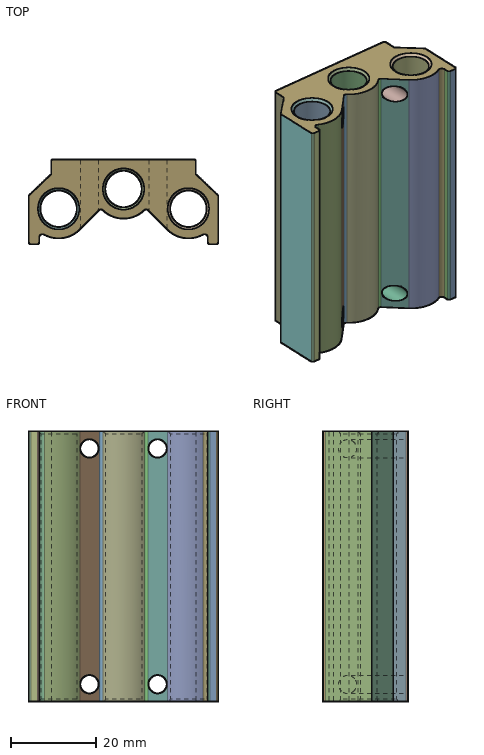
import cadquery as cq
import math

width = 44.5
depth = 20.0
length = 63.5

rail_width = 34.05
rail_height = 3.5
shoulder_drop = 8.5

foot_width = 2.5

bore_diameter = 8.5
bore_mouth_diameter = 9.7
bore_spacing = 15.25
middle_bore_inset = 7.0
side_bore_inset = 11.6
middle_bore_y = depth - middle_bore_inset
side_bore_y = depth - side_bore_inset
lobe_radius = 7.0

cross_hole_diameter = 4.25
cross_hole_spacing_x = 16.0
cross_hole_spacing_z = 55.4

rail_fillet = 0.5
foot_fillet = 0.5
foot_root_fillet = 0.75
valley_fillet = 0.6

half_width = width / 2
half_rail = rail_width / 2
foot_x = half_width - foot_width

foot_root_y = side_bore_y - math.sqrt(lobe_radius**2 - (foot_x - bore_spacing) ** 2)

lobe_diagonal = lobe_radius * math.sqrt(0.5)
flank_start_x = bore_spacing - lobe_diagonal
flank_start_y = side_bore_y - lobe_diagonal

flank_offset = flank_start_x + flank_start_y - middle_bore_y
valley_x = (flank_offset + math.sqrt(2 * lobe_radius**2 - flank_offset**2)) / 2
valley_y = middle_bore_y + flank_offset - valley_x


def make_profile():
    """Closed outline of the manifold, drawn from the left foot around the back."""
    lobe_front_y = side_bore_y - lobe_radius
    return (
        cq.Workplane("XY")
        .moveTo(-foot_x, 0)
        .lineTo(-half_width, 0)
        .lineTo(-half_width, depth - shoulder_drop)
        .lineTo(-half_rail, depth - rail_height)
        .lineTo(-half_rail, depth)
        .lineTo(half_rail, depth)
        .lineTo(half_rail, depth - rail_height)
        .lineTo(half_width, depth - shoulder_drop)
        .lineTo(half_width, 0)
        .lineTo(foot_x, 0)
        .lineTo(foot_x, foot_root_y)
        .threePointArc((bore_spacing, lobe_front_y), (flank_start_x, flank_start_y))
        .lineTo(valley_x, valley_y)
        .threePointArc((0, middle_bore_y - lobe_radius), (-valley_x, valley_y))
        .lineTo(-flank_start_x, flank_start_y)
        .threePointArc((-bore_spacing, lobe_front_y), (-foot_x, foot_root_y))
        .close()
    )


def round_edge_pair(body, x, y, radius):
    """Fillet the two lengthwise edges at (x, y) and (-x, y)."""
    for edge_x in (x, -x):
        nearest = cq.NearestToPointSelector((edge_x, y, length / 2))
        body = body.edges("|Z").edges(nearest).fillet(radius)
    return body


def make_bore(x, y):
    """Through bore with a 45 degree countersink at both ends."""
    mouth_radius = bore_mouth_diameter / 2
    bore_radius = bore_diameter / 2
    countersink_depth = mouth_radius - bore_radius
    return (
        cq.Workplane("XZ")
        .lineTo(mouth_radius, 0)
        .lineTo(bore_radius, countersink_depth)
        .lineTo(bore_radius, length - countersink_depth)
        .lineTo(mouth_radius, length)
        .lineTo(0, length)
        .close()
        .revolve(360, (0, 0), (0, 1))
        .translate((x, y, 0))
    )


def make_cross_holes():
    """Four holes along Y, spaced evenly about the middle of the length."""
    return (
        cq.Workplane("XZ", origin=(0, depth, length / 2))
        .rarray(cross_hole_spacing_x, cross_hole_spacing_z, 2, 2)
        .circle(cross_hole_diameter / 2)
        .extrude(depth)
    )


body = make_profile().extrude(length)
body = round_edge_pair(body, half_rail, depth, rail_fillet)
body = round_edge_pair(body, half_width, 0, foot_fillet)
body = round_edge_pair(body, foot_x, 0, foot_fillet)
body = round_edge_pair(body, foot_x, foot_root_y, foot_root_fillet)
body = round_edge_pair(body, valley_x, valley_y, valley_fillet)

bore_centers = [
    (-bore_spacing, side_bore_y),
    (0, middle_bore_y),
    (bore_spacing, side_bore_y),
]
for x, y in bore_centers:
    body = body.cut(make_bore(x, y))

result = body.cut(make_cross_holes())